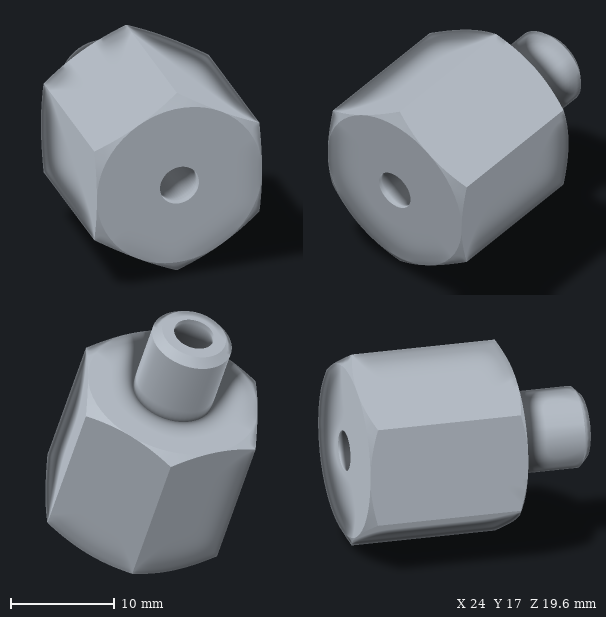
import cadquery as cq
import math

total_length = 24.0
spigot_length = 8.0
spigot_diameter = 8.0
spigot_chamfer = 0.8
bore_diameter = 4.0
across_flats = 17.0
corner_chamfer_angle = 30.0

hex_length = total_length - spigot_length
across_corners = across_flats / math.cos(math.radians(30))
flat_radius = across_flats / 2
corner_radius = across_corners / 2
corner_chamfer_length = (corner_radius - flat_radius) * math.tan(math.radians(corner_chamfer_angle))


def make_hex_body():
    """Hexagon along X with corners on Z and both ends turned to a cone."""
    hexagon = (
        cq.Workplane("YZ", origin=(spigot_length, 0, 0))
        .transformed(rotate=(0, 0, 90))
        .polygon(6, across_corners)
        .extrude(hex_length)
    )
    turned_envelope = (
        cq.Workplane("XY")
        .moveTo(spigot_length, 0)
        .lineTo(spigot_length, flat_radius)
        .lineTo(spigot_length + corner_chamfer_length, corner_radius)
        .lineTo(total_length - corner_chamfer_length, corner_radius)
        .lineTo(total_length, flat_radius)
        .lineTo(total_length, 0)
        .close()
        .revolve(360, (0, 0, 0), (1, 0, 0))
    )
    return hexagon.intersect(turned_envelope)


def make_spigot():
    """Round spigot with a chamfered free end."""
    return (
        cq.Workplane("YZ")
        .circle(spigot_diameter / 2)
        .extrude(spigot_length)
        .faces("<X")
        .chamfer(spigot_chamfer)
    )


def make_bore():
    """Straight hole through the full length."""
    return cq.Workplane("YZ").circle(bore_diameter / 2).extrude(total_length)


result = make_hex_body().union(make_spigot()).cut(make_bore())